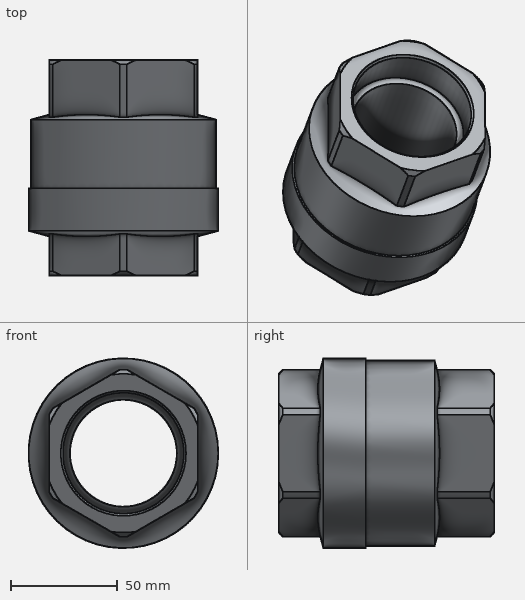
import cadquery as cq
import math

length = 101.0
half_length = length / 2
collar_diameter = 89.0
barrel_diameter = 87.0
collar_front_y = -29.6
collar_back_y = -9.7
barrel_back_y = 22.5
shoulder_angle = math.radians(15)

across_flats = 69.5
hex_corner_diameter = 78.4
hex_chamfer = 2.0

bore_diameter = 50.0
socket_diameter = 56.7
socket_depth = 17.5
socket_chamfer = 1.0


def revolve_about_y(points):
    """Turn a closed (radius, y) outline about the Y axis."""
    return cq.Workplane("XY").polyline(points).close().revolve(360, (0, 0), (0, 1))


def make_hex_bar():
    """Full-length hexagon with flats facing +/-X and chamfered, rounded corners."""
    circumscribed_diameter = across_flats / math.cos(math.pi / 6)
    hexagon = (
        cq.Workplane("XZ")
        .transformed(rotate=(0, 0, 30))
        .polygon(6, circumscribed_diameter)
        .extrude(half_length, both=True)
    )
    corner_envelope = (
        cq.Workplane("XZ")
        .circle(hex_corner_diameter / 2)
        .extrude(half_length, both=True)
        .edges()
        .chamfer(hex_chamfer)
    )
    return hexagon.intersect(corner_envelope)


def make_body():
    """Stepped barrel and collar with a conical shoulder at both ends."""
    collar_radius = collar_diameter / 2
    barrel_radius = barrel_diameter / 2
    cone_radius = across_flats / 2
    front_rise = (collar_radius - cone_radius) * math.tan(shoulder_angle)
    back_rise = (barrel_radius - cone_radius) * math.tan(shoulder_angle)
    return revolve_about_y([
        (0, collar_front_y - front_rise),
        (cone_radius, collar_front_y - front_rise),
        (collar_radius, collar_front_y),
        (collar_radius, collar_back_y),
        (barrel_radius, collar_back_y),
        (barrel_radius, barrel_back_y),
        (cone_radius, barrel_back_y + back_rise),
        (0, barrel_back_y + back_rise),
    ])


def make_bore():
    """Through bore with a socket and lead-in chamfer at both ends."""
    bore_radius = bore_diameter / 2
    socket_radius = socket_diameter / 2
    mouth_radius = socket_radius + socket_chamfer
    socket_floor = half_length - socket_depth
    chamfer_end = half_length - socket_chamfer
    return revolve_about_y([
        (0, -half_length),
        (mouth_radius, -half_length),
        (socket_radius, -chamfer_end),
        (socket_radius, -socket_floor),
        (bore_radius, -socket_floor),
        (bore_radius, socket_floor),
        (socket_radius, socket_floor),
        (socket_radius, chamfer_end),
        (mouth_radius, half_length),
        (0, half_length),
    ])


result = make_hex_bar().union(make_body()).cut(make_bore())